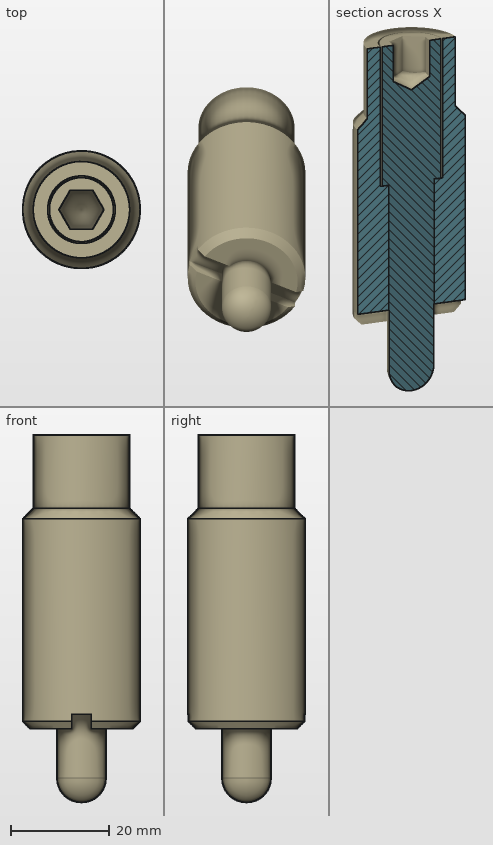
import cadquery as cq
import math

total_height = 75.0
housing_bottom = 15.0
neck_length = 15.0

housing_radius = 12.0
neck_radius = 9.8
shoulder_height = housing_radius - neck_radius
bottom_chamfer = 1.6
slot_width = 4.0
slot_depth = 3.0

pin_radius = 5.0
head_radius = 6.5
head_length = 30.0
bore_radius = 6.9

socket_across_flats = 7.95
socket_depth = 7.5
socket_cone_height = 2.6

head_bottom = total_height - head_length
neck_bottom = total_height - neck_length


def make_housing():
    """Stepped sleeve with a stepped bore and a driver slot across its lower end."""
    housing = (
        cq.Workplane("XZ")
        .moveTo(pin_radius, housing_bottom)
        .lineTo(housing_radius - bottom_chamfer, housing_bottom)
        .lineTo(housing_radius, housing_bottom + bottom_chamfer)
        .lineTo(housing_radius, neck_bottom - shoulder_height)
        .lineTo(neck_radius, neck_bottom)
        .lineTo(neck_radius, total_height)
        .lineTo(bore_radius, total_height)
        .lineTo(bore_radius, head_bottom)
        .lineTo(pin_radius, head_bottom)
        .close()
        .revolve(360, (0, 0, 0), (0, 1, 0))
    )
    slot = (
        cq.Workplane("XY", origin=(0, 0, housing_bottom))
        .rect(slot_width, 2 * housing_radius)
        .extrude(slot_depth)
    )
    return housing.cut(slot)


def make_socket():
    """Hexagonal recess, corners along X, with a conical floor."""
    corner_radius = socket_across_flats / math.sqrt(3)
    socket_floor = total_height - socket_depth
    hexagon = (
        cq.Workplane("XY", origin=(0, 0, socket_floor))
        .polygon(6, 2 * corner_radius)
        .extrude(socket_depth)
    )
    floor_prism = (
        cq.Workplane("XY", origin=(0, 0, socket_floor - socket_cone_height))
        .polygon(6, 2 * corner_radius)
        .extrude(socket_cone_height)
    )
    cone = (
        cq.Workplane("XZ")
        .moveTo(0, socket_floor - socket_cone_height)
        .lineTo(corner_radius, socket_floor)
        .lineTo(0, socket_floor)
        .close()
        .revolve(360, (0, 0, 0), (0, 1, 0))
    )
    return hexagon.union(cone.intersect(floor_prism))


def make_plunger():
    """Round-nosed pin with a wider head, driven by the hexagon socket."""
    nose_offset = pin_radius * math.sqrt(0.5)
    plunger = (
        cq.Workplane("XZ")
        .moveTo(0, 0)
        .threePointArc((nose_offset, pin_radius - nose_offset), (pin_radius, pin_radius))
        .lineTo(pin_radius, head_bottom)
        .lineTo(head_radius, head_bottom)
        .lineTo(head_radius, total_height)
        .lineTo(0, total_height)
        .close()
        .revolve(360, (0, 0, 0), (0, 1, 0))
    )
    return plunger.cut(make_socket())


housing = make_housing()
plunger = make_plunger()
result = cq.Compound.makeCompound([housing.val(), plunger.val()])